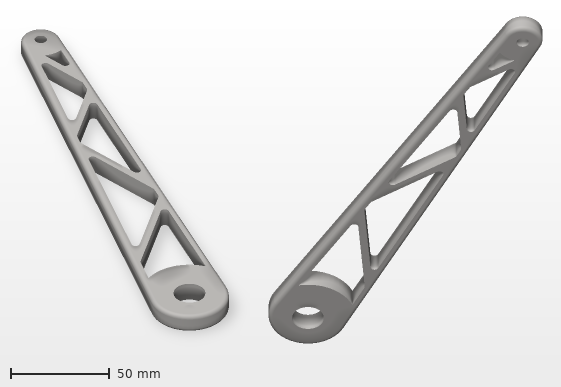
import cadquery as cq
import math

length = 260.0
thickness = 10.0
large_end_radius = 20.0
small_end_radius = large_end_radius / 2
edge_round = 2.0

large_end_x = length - large_end_radius - small_end_radius

small_bore_diameter = 6.2
large_bore_diameter = 16.0
small_pad_radius = 13.8
large_pad_radius = 24.5

rail_width = 4.0
strut_width = 4.0
window_corner_radius = 2.0
rising_angle = 28.2
falling_angle = -32.5
struts = [
    (22.5, rising_angle),
    (65.0, falling_angle),
    (112.8, rising_angle),
    (169.7, falling_angle),
]


def tapered_outline(inset):
    """Arm with round ends joined by tangent sides, moved inward by the inset."""
    small_radius = small_end_radius - inset
    large_radius = large_end_radius - inset
    lean = math.asin((large_radius - small_radius) / large_end_x)
    across = math.cos(lean)
    along = -math.sin(lean)
    small_x = small_radius * along
    small_y = small_radius * across
    large_x = large_end_x + large_radius * along
    large_y = large_radius * across
    return (
        cq.Workplane("XY")
        .moveTo(small_x, small_y)
        .lineTo(large_x, large_y)
        .threePointArc((large_end_x + large_radius, 0), (large_x, -large_y))
        .lineTo(small_x, -small_y)
        .threePointArc((-small_radius, 0), (small_x, small_y))
        .close()
        .extrude(thickness)
    )


def disc(x, radius):
    return cq.Workplane("XY").center(x, 0).circle(radius).extrude(thickness)


def strut(crossing_x, angle):
    """Bar long enough to pass through both rails."""
    bar = cq.Workplane("XY").rect(length, strut_width).extrude(thickness)
    return bar.rotate((0, 0, 0), (0, 0, 1), angle).translate((crossing_x, 0, 0))


def touches_pad(edge):
    """True for a corner that lies on the rim of either end pad."""
    centre = edge.Center()
    small_gap = abs(math.hypot(centre.x, centre.y) - small_pad_radius)
    large_gap = abs(math.hypot(centre.x - large_end_x, centre.y) - large_pad_radius)
    tolerance = 0.003
    return min(small_gap, large_gap) < tolerance


def truss_windows():
    """Openings between the rails, struts and pads; corners at the pads stay sharp."""
    openings = tapered_outline(rail_width)
    openings = openings.cut(disc(0, small_pad_radius))
    openings = openings.cut(disc(large_end_x, large_pad_radius))
    for crossing_x, angle in struts:
        openings = openings.cut(strut(crossing_x, angle))
    corners = openings.edges("|Z").filter(lambda edge: not touches_pad(edge))
    return corners.fillet(window_corner_radius)


arm = tapered_outline(0).faces("<Z or >Z").edges().fillet(edge_round)
arm = arm.cut(truss_windows())
arm = arm.cut(disc(0, small_bore_diameter / 2))
result = arm.cut(disc(large_end_x, large_bore_diameter / 2))